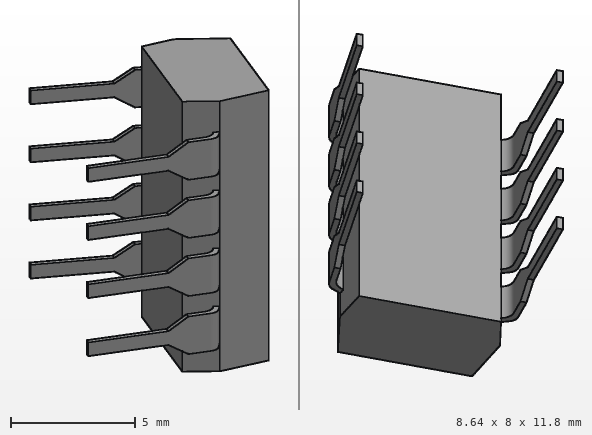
import cadquery as cq
import math


BODY_LENGTH = 11.81
PARTING_HALF_WIDTH = 3.35
BACK_HALF_WIDTH = 2.81
FRONT_HALF_WIDTH = 2.98
BACK_DEPTH = 2.21
FRONT_DEPTH = 1.46

LEADS_PER_SIDE = 4
LEAD_PITCH = 2.54
LEAD_ROW_OFFSET = -0.07
LEAD_THICKNESS = 0.26
SHOULDER_ANGLE = math.radians(25)
SPLAY_ANGLE = math.radians(3.9)
OUTER_BEND_RADIUS = 0.45
INNER_BEND_RADIUS = 0.51
SHOULDER_BURIAL = 0.24
TIP_HALF_SPAN = 4.32
OVERALL_DEPTH = 8.0
TIP_Y = BACK_DEPTH - OVERALL_DEPTH

SHOULDER_WIDTH = 1.64
PIN_WIDTH = 0.6
TAPER_START_Y = -1.51
TAPER_LENGTH = 0.85
TAPER_END_Y = TAPER_START_Y - TAPER_LENGTH


def make_body():
    section = [
        (-BACK_HALF_WIDTH, BACK_DEPTH),
        (BACK_HALF_WIDTH, BACK_DEPTH),
        (PARTING_HALF_WIDTH, 0),
        (FRONT_HALF_WIDTH, -FRONT_DEPTH),
        (-FRONT_HALF_WIDTH, -FRONT_DEPTH),
        (-PARTING_HALF_WIDTH, 0),
    ]
    return cq.Workplane("XY").polyline(section).close().extrude(BODY_LENGTH / 2, both=True)


def bend_corner(shoulder_y, tip_x):
    """Corner of a shoulder line and a leg line.

    The shoulder line passes PARTING_HALF_WIDTH at shoulder_y; the leg line ends at tip_x.
    """
    shoulder_slope = math.tan(SHOULDER_ANGLE)
    splay_slope = math.tan(SPLAY_ANGLE)
    leg_x_at_parting = tip_x + TIP_Y * splay_slope
    shoulder_y_at_center = shoulder_y + PARTING_HALF_WIDTH * shoulder_slope
    x = (leg_x_at_parting - splay_slope * shoulder_y_at_center) / (1 - splay_slope * shoulder_slope)
    y = shoulder_y - (x - PARTING_HALF_WIDTH) * shoulder_slope
    return x, y


def make_bent_strip():
    """The +X lead at full shoulder width, centred on Z = 0."""
    inner_drop = LEAD_THICKNESS / math.cos(SHOULDER_ANGLE)
    inner_tip_x = TIP_HALF_SPAN - LEAD_THICKNESS / math.cos(SPLAY_ANGLE)
    root_x = PARTING_HALF_WIDTH - SHOULDER_BURIAL
    root_y = SHOULDER_BURIAL * math.tan(SHOULDER_ANGLE)
    outer_corner = bend_corner(0, TIP_HALF_SPAN)
    inner_corner = bend_corner(-inner_drop, inner_tip_x)
    profile = [
        (root_x, root_y),
        outer_corner,
        (TIP_HALF_SPAN, TIP_Y),
        (inner_tip_x, TIP_Y),
        inner_corner,
        (root_x, root_y - inner_drop),
    ]
    strip = cq.Workplane("XY").polyline(profile).close().extrude(SHOULDER_WIDTH / 2, both=True)
    for corner, radius in ((outer_corner, OUTER_BEND_RADIUS), (inner_corner, INNER_BEND_RADIUS)):
        strip = strip.edges(cq.NearestToPointSelector((*corner, 0))).fillet(radius)
    return strip


def make_lead():
    """The bent strip narrowed to its shoulder-and-pin outline."""
    half_shoulder = SHOULDER_WIDTH / 2
    half_pin = PIN_WIDTH / 2
    outline = [
        (BACK_DEPTH, half_shoulder),
        (TAPER_START_Y, half_shoulder),
        (TAPER_END_Y, half_pin),
        (TIP_Y, half_pin),
        (TIP_Y, -half_pin),
        (TAPER_END_Y, -half_pin),
        (TAPER_START_Y, -half_shoulder),
        (BACK_DEPTH, -half_shoulder),
    ]
    blank = cq.Workplane("YZ").polyline(outline).close().extrude(TIP_HALF_SPAN)
    return make_bent_strip().intersect(blank)


result = make_body()
right_lead = make_lead()
left_lead = right_lead.mirror("YZ")
for index in range(LEADS_PER_SIDE):
    lead_z = LEAD_ROW_OFFSET + (index - (LEADS_PER_SIDE - 1) / 2) * LEAD_PITCH
    for lead in (left_lead, right_lead):
        result = result.union(lead.translate((0, 0, lead_z)))